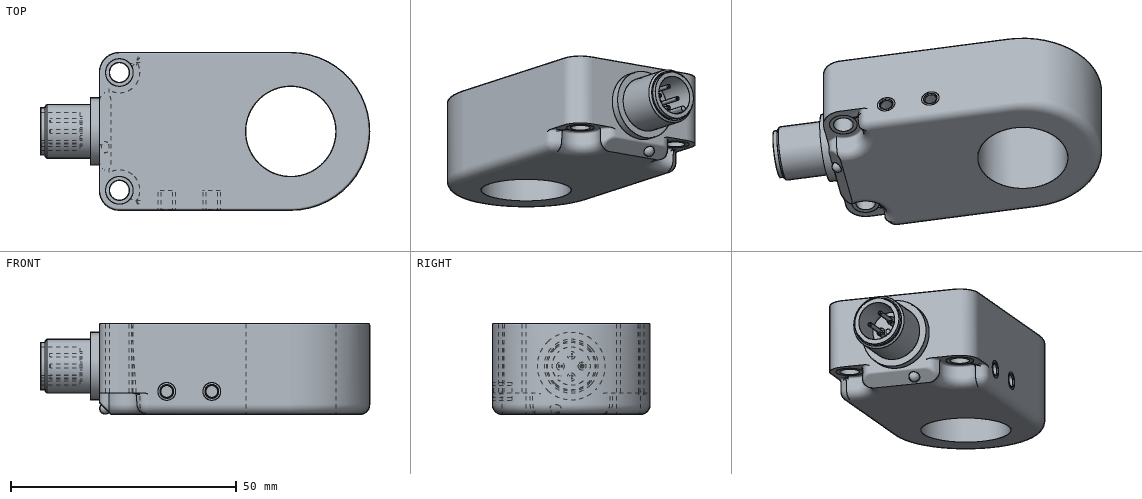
import cadquery as cq
import math

OVERALL_LENGTH = 73.0
HOUSING_START = 13.0
HOUSING_WIDTH = 35.0
HOUSING_HEIGHT = 20.2
CORNER_RADIUS = 4.45
TOP_EDGE_FILLET = 0.45
BOTTOM_EDGE_FILLET = 2.2
REAR_CHAMFER = 2.6
REAR_CHAMFER_FILLET = 0.65

EDGE_MARGIN = 0.1

HALF_WIDTH = HOUSING_WIDTH / 2
ROUND_END_X = OVERALL_LENGTH - HALF_WIDTH
SENSING_HOLE_RADIUS = 10.0

SLEEVE_RADIUS = 3.1
SLEEVE_BORE_RADIUS = 2.2
SLEEVE_X = HOUSING_START + CORNER_RADIUS
SLEEVE_Y = HALF_WIDTH - CORNER_RADIUS

RECESS_HEIGHT = 4.8
RECESS_RADIUS = 4.5
RECESS_CEILING_FILLET = 0.4
CUTTER_OVERHANG = 2.2
RECESS_MOUTH = 11.0
MOUTH_ROUND_RADIUS = 2.4
MOUTH_TURN_ANGLE = 60

INSERT_X = (27.95, 37.95)
INSERT_Z = 5.1
INSERT_RADIUS = 2.0
INSERT_BORE_RADIUS = 1.3
INSERT_BORE_CHAMFER = 0.2
INSERT_DEPTH = 4.4

PLUG_Z = 10.7
FLANGE_START = 11.0
FLANGE_RADIUS = 7.5
BARREL_RADIUS = 6.0
NOSE_RADIUS = 5.25
NOSE_LENGTH = 0.95
BARREL_CHAMFER = 0.45
SOCKET_RADIUS = 4.2
SOCKET_DEPTH = 8.75

PIN_COUNT = 4
PIN_CIRCLE_RADIUS = 2.4
PIN_RADIUS = 0.45
PIN_TIP_CHAMFER = 0.2
PIN_START = 1.9
PIN_RECESS_RADIUS = 0.9
PIN_RECESS_DEPTH = 0.4

KEY_WIDTH = 1.0
KEY_TIP_DISTANCE = 3.15
KEY_START = 0.2
KEY_ANGLE = 45

DOME_RADIUS = 1.25
DOME_Y = -3.5


def point_on_circle(center, radius, angle):
    """Point on a circle at an angle in degrees from the first axis."""
    return (
        center[0] + radius * math.cos(math.radians(angle)),
        center[1] + radius * math.sin(math.radians(angle)),
    )


def housing_block():
    """Full outline with softened top edges and a sharp base."""
    block = (
        cq.Workplane("XY")
        .moveTo(ROUND_END_X, -HALF_WIDTH)
        .threePointArc((OVERALL_LENGTH, 0), (ROUND_END_X, HALF_WIDTH))
        .lineTo(HOUSING_START, HALF_WIDTH)
        .lineTo(HOUSING_START, -HALF_WIDTH)
        .close()
        .extrude(HOUSING_HEIGHT)
    )
    block = block.edges("|Z and <X").fillet(CORNER_RADIUS)
    return block.faces(">Z").edges().fillet(TOP_EDGE_FILLET)


def corner_recess():
    """Cutter for the +Y recess: a scoop around the sleeve axis with two flared, rounded mouths."""
    turn = MOUTH_TURN_ANGLE
    neck = 90 - turn
    sleeve_axis = (SLEEVE_X, SLEEVE_Y)
    side_round = (HOUSING_START + RECESS_MOUTH, HALF_WIDTH - MOUTH_ROUND_RADIUS)
    rear_round = (HOUSING_START + MOUTH_ROUND_RADIUS, HALF_WIDTH - RECESS_MOUTH)
    outside_x = HOUSING_START - CUTTER_OVERHANG
    outside_y = HALF_WIDTH + CUTTER_OVERHANG

    cutter = (
        cq.Workplane("XY")
        .moveTo(side_round[0], HALF_WIDTH)
        .threePointArc(
            point_on_circle(side_round, MOUTH_ROUND_RADIUS, 90 + turn / 2),
            point_on_circle(side_round, MOUTH_ROUND_RADIUS, 90 + turn),
        )
        .lineTo(*point_on_circle(sleeve_axis, RECESS_RADIUS, neck))
        .threePointArc(
            point_on_circle(sleeve_axis, RECESS_RADIUS, -45),
            point_on_circle(sleeve_axis, RECESS_RADIUS, -90 - neck),
        )
        .lineTo(*point_on_circle(rear_round, MOUTH_ROUND_RADIUS, 180 - turn))
        .threePointArc(
            point_on_circle(rear_round, MOUTH_ROUND_RADIUS, 180 - turn / 2),
            (HOUSING_START, rear_round[1]),
        )
        .lineTo(outside_x, rear_round[1])
        .lineTo(outside_x, outside_y)
        .lineTo(side_round[0], outside_y)
        .close()
        .extrude(RECESS_HEIGHT)
    )
    wall_zone = cq.selectors.BoxSelector(
        (HOUSING_START, 0, RECESS_HEIGHT - EDGE_MARGIN),
        (OVERALL_LENGTH, HALF_WIDTH, RECESS_HEIGHT + EDGE_MARGIN),
    )
    return cutter.edges(wall_zone).fillet(RECESS_CEILING_FILLET)


def rear_chamfer_cutter():
    """Wedge that takes the lower rear edge off at 45 degrees."""
    return (
        cq.Workplane("XZ", origin=(0, HALF_WIDTH, 0))
        .moveTo(HOUSING_START, 0)
        .lineTo(HOUSING_START + REAR_CHAMFER, 0)
        .lineTo(HOUSING_START, REAR_CHAMFER)
        .close()
        .extrude(HOUSING_WIDTH)
    )


def indicator_dome():
    """Ball half sunk into the middle of the rear chamfer."""
    middle = REAR_CHAMFER / 2
    return cq.Workplane("XY").sphere(DOME_RADIUS).translate((HOUSING_START + middle, DOME_Y, middle))


def plug_cylinder(start, end, radius):
    """Cylinder on the plug axis between two X positions."""
    return cq.Workplane("YZ", origin=(start, 0, PLUG_Z)).circle(radius).extrude(end - start)


def plug_shell():
    """Flange, barrel and nose with the socket bored into them."""
    barrel = plug_cylinder(NOSE_LENGTH, FLANGE_START, BARREL_RADIUS)
    barrel = barrel.faces("<X").chamfer(BARREL_CHAMFER)
    shell = (
        plug_cylinder(FLANGE_START, HOUSING_START, FLANGE_RADIUS)
        .union(barrel)
        .union(plug_cylinder(0, NOSE_LENGTH, NOSE_RADIUS))
    )
    return shell.cut(plug_cylinder(0, SOCKET_DEPTH, SOCKET_RADIUS))


def plug_key():
    """Round-nosed coding rib on the socket wall, on the lower -Y side."""
    nose_center = KEY_TIP_DISTANCE + KEY_WIDTH / 2
    wall_center = (SOCKET_RADIUS + NOSE_RADIUS) / 2
    length = SOCKET_DEPTH - KEY_START
    plane = cq.Workplane("YZ", origin=(KEY_START, 0, PLUG_Z))
    nose = plane.center(-nose_center, 0).circle(KEY_WIDTH / 2).extrude(length)
    rib = plane.center(-(nose_center + wall_center) / 2, 0)
    rib = rib.rect(wall_center - nose_center, KEY_WIDTH).extrude(length)
    return nose.union(rib).rotate((0, 0, PLUG_Z), (1, 0, PLUG_Z), KEY_ANGLE)


def with_pins(body):
    """Contact pins, each standing in a shallow round recess of the socket floor."""
    recess_floor = SOCKET_DEPTH + PIN_RECESS_DEPTH
    recess = plug_cylinder(SOCKET_DEPTH, recess_floor, PIN_RECESS_RADIUS)
    pin = plug_cylinder(PIN_START, recess_floor, PIN_RADIUS).faces("<X").chamfer(PIN_TIP_CHAMFER)
    for index in range(PIN_COUNT):
        angle = math.radians(index * 360 / PIN_COUNT)
        offset = (0, PIN_CIRCLE_RADIUS * math.cos(angle), PIN_CIRCLE_RADIUS * math.sin(angle))
        body = body.cut(recess.translate(offset)).union(pin.translate(offset))
    return body


def upright_cylinder(x, y, bottom, radius):
    """Vertical cylinder from a given height up to the top face."""
    return cq.Workplane("XY", origin=(x, y, bottom)).circle(radius).extrude(HOUSING_HEIGHT - bottom)


def sleeve(y):
    """Plain tube from the recess ceiling to the top face."""
    outside = upright_cylinder(SLEEVE_X, y, RECESS_HEIGHT, SLEEVE_RADIUS)
    return outside.cut(upright_cylinder(SLEEVE_X, y, RECESS_HEIGHT, SLEEVE_BORE_RADIUS))


def insert_blank(x):
    """Outer cylinder of a threaded insert, flush with the -Y side."""
    plane = cq.Workplane("XZ", origin=(x, -HALF_WIDTH, INSERT_Z))
    return plane.circle(INSERT_RADIUS).extrude(-INSERT_DEPTH)


def threaded_insert(x):
    """Tube with a chamfered mouth."""
    bored = insert_blank(x).faces("<Y").workplane().hole(2 * INSERT_BORE_RADIUS)
    mouth = bored.faces("<Y").edges(cq.selectors.RadiusNthSelector(0))
    return mouth.chamfer(INSERT_BORE_CHAMFER)


def round_chamfer_top(body):
    """Softens the edge between the rear face and the rear chamfer."""
    edge_zone = cq.selectors.BoxSelector(
        (HOUSING_START - EDGE_MARGIN, -EDGE_MARGIN, REAR_CHAMFER - EDGE_MARGIN),
        (HOUSING_START + EDGE_MARGIN, EDGE_MARGIN, REAR_CHAMFER + EDGE_MARGIN),
    )
    return body.edges(edge_zone).fillet(REAR_CHAMFER_FILLET)


def housing_body():
    """Housing with its plug connector and indicator, bored for the sleeves and inserts."""
    recess = corner_recess()
    body = housing_block().cut(recess).cut(recess.mirror("XZ"))
    body = body.faces("<Z").edges().fillet(BOTTOM_EDGE_FILLET)
    body = round_chamfer_top(body.cut(rear_chamfer_cutter()))
    body = body.union(indicator_dome()).union(plug_shell()).union(plug_key())
    body = with_pins(body)
    body = body.cut(upright_cylinder(ROUND_END_X, 0, 0, SENSING_HOLE_RADIUS))
    for y in (-SLEEVE_Y, SLEEVE_Y):
        body = body.cut(upright_cylinder(SLEEVE_X, y, RECESS_HEIGHT, SLEEVE_RADIUS))
    for x in INSERT_X:
        body = body.cut(insert_blank(x))
    return body


housing = housing_body()
sleeves = [sleeve(y) for y in (-SLEEVE_Y, SLEEVE_Y)]
inserts = [threaded_insert(x) for x in INSERT_X]

result = cq.Compound.makeCompound(
    [housing.val(), *[part.val() for part in sleeves], *[part.val() for part in inserts]]
)